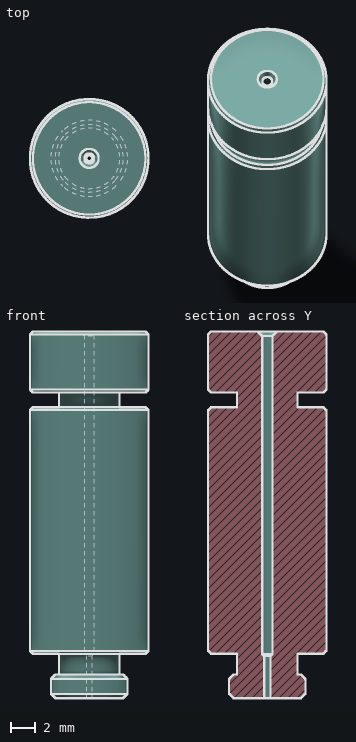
import cadquery as cq

total_length = 29.45
flange_thickness = 1.9
lower_neck_length = 1.65
body_length = 19.8
upper_neck_length = 1.15

body_diameter = 9.55
neck_diameter = 4.9
flange_diameter = 6.15

body_chamfer = 0.25
flange_chamfer = 0.35

entry_diameter = 1.53
guide_diameter = 0.8
fine_hole_diameter = 0.47

lower_neck_base = flange_thickness
body_base = lower_neck_base + lower_neck_length
upper_neck_base = body_base + body_length
head_base = upper_neck_base + upper_neck_length
head_length = total_length - head_base

guide_bottom = body_base

entry_depth = (entry_diameter - guide_diameter) / 2
step_depth = (guide_diameter - fine_hole_diameter) / 2


def cylinder(diameter, base, length):
    """Upright cylinder on the Z axis starting at the given level."""
    return cq.Workplane("XY").workplane(offset=base).circle(diameter / 2).extrude(length)


def chamfered_cylinder(diameter, base, length, chamfer):
    """Upright cylinder with both end rims chamfered."""
    return cylinder(diameter, base, length).faces("<Z or >Z").chamfer(chamfer)


def funnel(top_diameter, bottom_diameter, top, depth):
    """Cone on the Z axis that narrows downwards from the given top level."""
    narrow_end = cq.Workplane("XY").workplane(offset=top - depth).circle(bottom_diameter / 2)
    return narrow_end.workplane(offset=depth).circle(top_diameter / 2).loft()


flange = chamfered_cylinder(flange_diameter, 0, flange_thickness, flange_chamfer)
lower_neck = cylinder(neck_diameter, lower_neck_base, lower_neck_length)
body = chamfered_cylinder(body_diameter, body_base, body_length, body_chamfer)
upper_neck = cylinder(neck_diameter, upper_neck_base, upper_neck_length)
head = chamfered_cylinder(body_diameter, head_base, head_length, body_chamfer)
turned_part = flange.union(lower_neck).union(body).union(upper_neck).union(head)

entry_cone = funnel(entry_diameter, guide_diameter, total_length, entry_depth)
guide_bore = cylinder(guide_diameter, guide_bottom, total_length - guide_bottom)
step_cone = funnel(guide_diameter, fine_hole_diameter, guide_bottom, step_depth)
fine_hole = cylinder(fine_hole_diameter, 0, guide_bottom)
bore = entry_cone.union(guide_bore).union(step_cone).union(fine_hole)

result = turned_part.cut(bore)